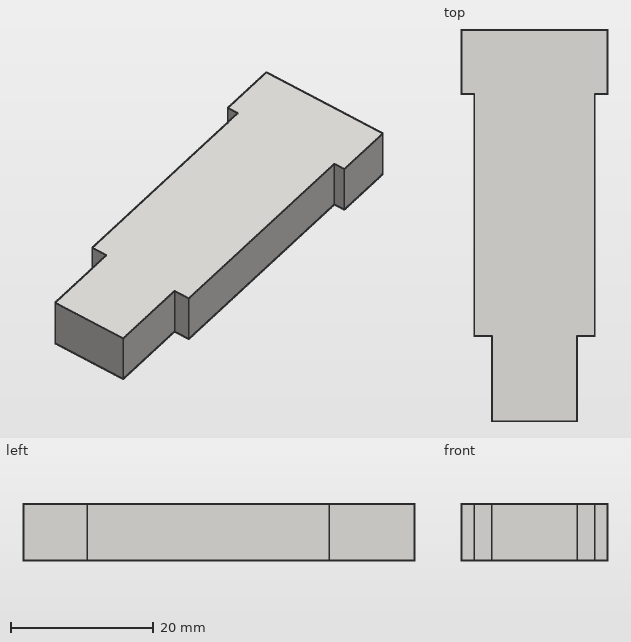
import cadquery as cq

total_length = 55.0
thickness = 8.0

head_width = 20.5
head_length = 9.0

body_width = 17.0

tip_width = 12.0
tip_length = 12.0

body_length = total_length - head_length - tip_length


def section(width, length, start_y):
    """Block centred on X and Z, running in +Y from start_y."""
    block = cq.Workplane("XY").box(width, length, thickness, centered=(True, False, True))
    return block.translate((0, start_y, 0))


tip_start = -total_length / 2
body_start = tip_start + tip_length
head_start = body_start + body_length

tip = section(tip_width, tip_length, tip_start)
body = section(body_width, body_length, body_start)
head = section(head_width, head_length, head_start)

result = tip.union(body).union(head)